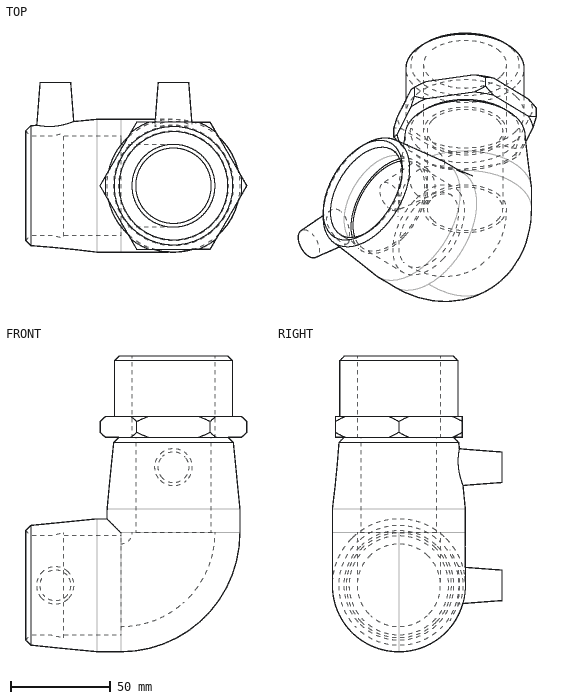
import cadquery as cq
import math

TOTAL_DEPTH = 85.5
TOTAL_HEIGHT = 149.0

LEG_LENGTH = 74.4
BODY_RADIUS = 33.5
BEND_RADIUS = 26.5
COLLAR_LENGTH = 12.0
MOUTH_RADIUS = 30.2
MOUTH_CHAMFER = 2.6
MOUTH_FACE_RADIUS = MOUTH_RADIUS - MOUTH_CHAMFER

BORE_RADIUS = 41.73 / 2
SOCKET_RADIUS = 50.0 / 2
GROOVE_DEPTH = 1.4
GROOVE_START = 12.5
GROOVE_END = 19.0
THROAT_RADIUS = 38.0 / 2

HEX_ACROSS_FLATS = 64.0
HEX_HEIGHT = 10.6
HEX_CHAMFER_RADIUS = 34.35
SPIGOT_RADIUS = 59.61 / 2
SPIGOT_CHAMFER = 2.5
TOP_Z = TOTAL_HEIGHT - BODY_RADIUS

POST_DISTANCE = 59.4
POST_TIP_Y = TOTAL_DEPTH - BODY_RADIUS
POST_ROOT_Y = 28.0
POST_TIP_RADIUS = 7.75
POST_ROOT_RADIUS = 9.6

ORIGIN = (0, 0, 0)
Y_AXIS = (0, 1, 0)
BEND_AXIS = ((-BEND_RADIUS, 0), (-BEND_RADIUS, 1))


def turned(outline):
    """Close a (radius, height) outline and spin it about the Z axis."""
    return outline.close().revolve(360, ORIGIN, Y_AXIS)


def lay_down(upright):
    """Swing a body from the +Z axis onto the -X axis."""
    return upright.rotate(ORIGIN, Y_AXIS, -90)


def cylinder_up(radius, start, end):
    """Upright cylinder on the Z axis between two heights."""
    return cq.Workplane("XY").workplane(offset=start).circle(radius).extrude(end - start)


def bend_solid():
    """Quarter turn of the body section, cut off where it would pass its own centre of bend.

    The section is drawn as two mirrored arcs so that each bent face stays well bounded.
    """
    half_chord = math.sqrt(BODY_RADIUS**2 - BEND_RADIUS**2)
    middle = BODY_RADIUS / math.sqrt(2)
    return (
        cq.Workplane("XY", origin=(0, 0, BEND_RADIUS))
        .moveTo(-BEND_RADIUS, -half_chord)
        .threePointArc((middle, -middle), (BODY_RADIUS, 0))
        .threePointArc((middle, middle), (-BEND_RADIUS, half_chord))
        .close()
        .revolve(90, *BEND_AXIS)
    )


def bend_bore():
    """Round passage through the quarter turn."""
    return cq.Workplane("XY", origin=(0, 0, BEND_RADIUS)).circle(BORE_RADIUS).revolve(90, *BEND_AXIS)


def leg():
    """Collar, then a taper to the mouth, then the mouth chamfer."""
    collar_end = BEND_RADIUS + COLLAR_LENGTH
    taper_end = LEG_LENGTH - MOUTH_CHAMFER
    return turned(
        cq.Workplane("XZ")
        .moveTo(0, BEND_RADIUS)
        .lineTo(BODY_RADIUS, BEND_RADIUS)
        .lineTo(BODY_RADIUS, collar_end)
        .lineTo(MOUTH_RADIUS, taper_end)
        .lineTo(MOUTH_FACE_RADIUS, LEG_LENGTH)
        .lineTo(0, LEG_LENGTH)
    )


def hexagon():
    """Hex collar with its corners on X, both ends turned to a 45 degree chamfer."""
    corner_radius = HEX_ACROSS_FLATS / math.sqrt(3)
    chamfer = corner_radius - HEX_CHAMFER_RADIUS
    prism = (
        cq.Workplane("XY", origin=(0, 0, LEG_LENGTH))
        .polygon(6, 2 * corner_radius)
        .extrude(HEX_HEIGHT)
    )
    envelope = cylinder_up(corner_radius, LEG_LENGTH, LEG_LENGTH + HEX_HEIGHT).edges().chamfer(chamfer)
    return prism.intersect(envelope)


def spigot():
    """Plain round spigot, chamfered at its top rim."""
    return cylinder_up(SPIGOT_RADIUS, LEG_LENGTH, TOP_Z).faces(">Z").chamfer(SPIGOT_CHAMFER)


def post(x, z):
    """Tapered terminal post pointing along +Y."""
    return (
        cq.Workplane("XZ", origin=(x, POST_ROOT_Y, z))
        .circle(POST_ROOT_RADIUS)
        .workplane(offset=POST_ROOT_Y - POST_TIP_Y)
        .circle(POST_TIP_RADIUS)
        .loft()
    )


def socket():
    """Socket with a lead-in chamfer and an undercut snap groove."""
    groove_start = LEG_LENGTH - GROOVE_START
    groove_end = LEG_LENGTH - GROOVE_END
    lead_in = MOUTH_FACE_RADIUS - SOCKET_RADIUS
    return turned(
        cq.Workplane("XZ")
        .moveTo(0, BEND_RADIUS)
        .lineTo(SOCKET_RADIUS, BEND_RADIUS)
        .lineTo(SOCKET_RADIUS, groove_end)
        .lineTo(SOCKET_RADIUS + GROOVE_DEPTH, groove_end)
        .lineTo(SOCKET_RADIUS, groove_start)
        .lineTo(SOCKET_RADIUS, LEG_LENGTH - lead_in)
        .lineTo(MOUTH_FACE_RADIUS, LEG_LENGTH)
        .lineTo(0, LEG_LENGTH)
    )


outside = bend_solid().union(leg()).union(lay_down(leg()))
outside = outside.union(hexagon()).union(spigot())
outside = outside.union(post(0, POST_DISTANCE)).union(post(-POST_DISTANCE, 0))
passage = [
    bend_bore(),
    lay_down(socket()),
    cylinder_up(THROAT_RADIUS, BEND_RADIUS, LEG_LENGTH),
    cylinder_up(BORE_RADIUS, LEG_LENGTH, TOP_Z),
]
result = outside
for cavity in passage:
    result = result.cut(cavity)